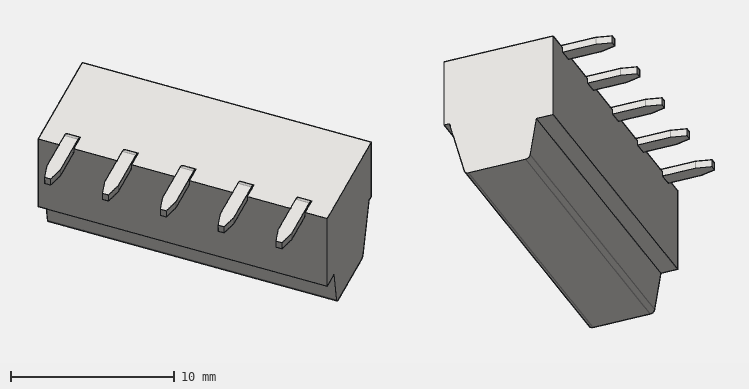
import cadquery as cq

length = 19.05
depth = 7.3
height = 8.52
front_height = 5.73
back_height = 4.61
front_ledge = 1.12
back_ledge = 0.36
front_base_inset = 1.58
back_base_inset = 1.41
base_radius = 0.3

pin_count = 5
pin_pitch = length / pin_count
pin_width = 0.9
pin_thickness = 0.51
pin_rise = 0.2
pin_reach = 3.2
pin_embed = 1.2
bend_radius = 0.5
tip_width = 0.4
tip_length = 1.0


def make_housing():
    """Extrude the stepped side profile with its tapered, rounded foot."""
    profile = [
        (0, 0),
        (depth, 0),
        (depth, -back_height),
        (depth - back_ledge, -back_height),
        (depth - back_base_inset, -height),
        (front_base_inset, -height),
        (front_ledge, -front_height),
        (0, -front_height),
    ]
    body = cq.Workplane("YZ").polyline(profile).close().extrude(length)
    return body.faces("<Z").edges("|X").fillet(base_radius)


def make_pin(center_x):
    """Extrude the tapered plan of one pin and round its rear end down into the housing."""
    half_width = pin_width / 2
    half_tip = tip_width / 2
    taper_start = tip_length - pin_reach
    plan = [
        (center_x - half_width, pin_embed),
        (center_x - half_width, taper_start),
        (center_x - half_tip, -pin_reach),
        (center_x + half_tip, -pin_reach),
        (center_x + half_width, taper_start),
        (center_x + half_width, pin_embed),
    ]
    pin_bottom = pin_rise - pin_thickness
    bar = cq.Workplane("XY").workplane(offset=pin_bottom).polyline(plan).close().extrude(pin_thickness)
    return bar.faces(">Y").edges(">Z").fillet(bend_radius)


result = make_housing()
for index in range(pin_count):
    result = result.union(make_pin((index + 0.5) * pin_pitch))